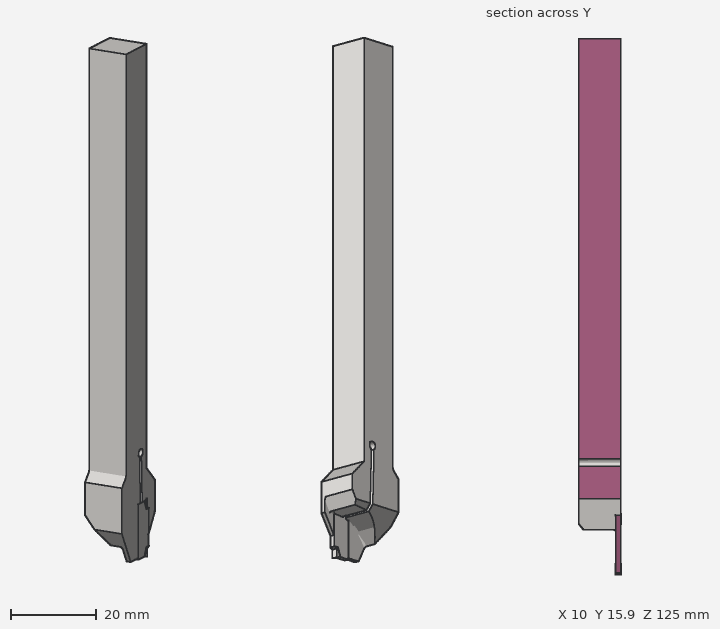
import cadquery as cq

total_height = 125.0
shank_width = 9.9

head_front_y = -2.0
head_back_y = 13.9
front_shoulder_top_z = 22.0
front_shoulder_bottom_z = 19.9
front_shoulder_radius = 1.5
back_shoulder_top_z = 21.6
back_shoulder_bottom_z = 17.8
front_taper_top_z = 8.8
back_taper_top_z = 10.1
back_jaw_tip_z = 5.2
support_toe_y = 2.2
support_bottom_z = 0.8

bevel_start_z = 11.9
bevel_run = 4.5
bevel_drop = 5.6

blade_thickness = 1.1
blade_x = shank_width - blade_thickness
blade_root_radius = 0.5

slot_width = 0.9
slot_top_y = 6.9
slot_bottom_y = 7.4
slot_bottom_z = 10.0
slot_hole_radius = 1.0
slot_hole_y = 7.0
slot_hole_z = 26.1

insert_height = 14.2
insert_bottom_y = 5.9
insert_top_y = 10.8
tip_edge_y = 10.0
tip_face_z = 2.1
tip_step_z = 2.5
tip_heel_y = 8.8
tip_shoulder_y = 9.6
end_relief = 0.4
tip_overhang = 0.1
insert_thickness = 1.2
insert_x = shank_width - insert_thickness

CLEARANCE = 1.2


def prism_yz(points, x_start, x_end):
    """Extrude a closed (y, z) polygon along X."""
    return cq.Workplane("YZ", origin=(x_start, 0, 0)).polyline(points).close().extrude(x_end - x_start)


def make_insert():
    """Flat insert with a slightly wider cutting tip at each end."""
    lower_end = [
        (insert_bottom_y, end_relief),
        (tip_heel_y, end_relief),
        (tip_edge_y, 0),
        (tip_edge_y, tip_face_z),
        (insert_top_y, tip_step_z),
    ]
    upper_end = [(y, insert_height - z) for y, z in reversed(lower_end)]
    insert = prism_yz(lower_end + upper_end, insert_x, shank_width)

    tip = [
        (tip_heel_y, end_relief),
        (tip_edge_y, 0),
        (tip_edge_y, tip_face_z),
        (insert_top_y, tip_step_z),
        (tip_shoulder_y, tip_step_z),
    ]
    opposite_tip = [(y, insert_height - z) for y, z in tip]
    for outline in (tip, opposite_tip):
        insert = insert.union(prism_yz(outline, insert_x - tip_overhang, shank_width + tip_overhang))
    return insert


def make_blank():
    """Side outline of shank and head, with the front shoulder corner rounded."""
    outline = [
        (0, total_height),
        (0, front_shoulder_top_z),
        (head_front_y, front_shoulder_bottom_z),
        (head_front_y, front_taper_top_z),
        (support_toe_y, support_bottom_z),
        (insert_bottom_y, support_bottom_z),
        (insert_bottom_y, back_jaw_tip_z),
        (insert_top_y, back_jaw_tip_z),
        (head_back_y, back_taper_top_z),
        (head_back_y, back_shoulder_bottom_z),
        (shank_width, back_shoulder_top_z),
        (shank_width, total_height),
    ]
    shoulder_corner = cq.selectors.NearestToPointSelector((shank_width / 2, 0, front_shoulder_top_z))
    return prism_yz(outline, 0, shank_width).edges(shoulder_corner).fillet(front_shoulder_radius)


def make_bevel_cut():
    """Wedge that slopes the -X side of the head towards the blade."""
    slope = bevel_drop / bevel_run
    return (
        cq.Workplane("XZ", origin=(0, head_back_y + CLEARANCE, 0))
        .moveTo(-CLEARANCE, bevel_start_z + slope * CLEARANCE)
        .lineTo(blade_x, bevel_start_z - slope * blade_x)
        .lineTo(-CLEARANCE, bevel_start_z - slope * blade_x)
        .close()
        .extrude(head_back_y - head_front_y + 2 * CLEARANCE)
    )


def make_blade_cut():
    """Round-rooted space beside the blade, under a curved front edge and an upswept back edge."""
    front_end = (-1.0, 2.8)
    arc_middle = (3.0, 8.0)
    arc_end = (7.0, 10.4)
    step_corner = (12.0, 10.8)
    back_end = (head_back_y + CLEARANCE, 16.0)
    cut = (
        cq.Workplane("YZ", origin=(-CLEARANCE, 0, 0))
        .moveTo(*front_end)
        .threePointArc(arc_middle, arc_end)
        .lineTo(*step_corner)
        .lineTo(*back_end)
        .lineTo(head_back_y + CLEARANCE, -CLEARANCE)
        .lineTo(front_end[0], -CLEARANCE)
        .close()
        .extrude(blade_x + CLEARANCE)
    )
    return cut.faces(">X").edges("not(<Y or >Y or <Z)").fillet(blade_root_radius)


def make_slot_cut():
    """Slightly tilted slot that ends in a round relief hole."""
    depth = shank_width
    half = slot_width / 2
    slot = prism_yz(
        [
            (slot_top_y - half, slot_hole_z),
            (slot_top_y + half, slot_hole_z),
            (slot_bottom_y + half, slot_bottom_z),
            (slot_bottom_y - half, slot_bottom_z),
        ],
        0,
        depth,
    )
    hole = cq.Workplane("YZ").center(slot_hole_y, slot_hole_z).circle(slot_hole_radius).extrude(depth)
    return slot.union(hole)


insert = make_insert()

holder = (
    make_blank()
    .cut(make_bevel_cut())
    .cut(make_blade_cut())
    .cut(make_slot_cut())
    .cut(insert)
)

result = cq.Compound.makeCompound([holder.solids().val(), insert.solids().val()])